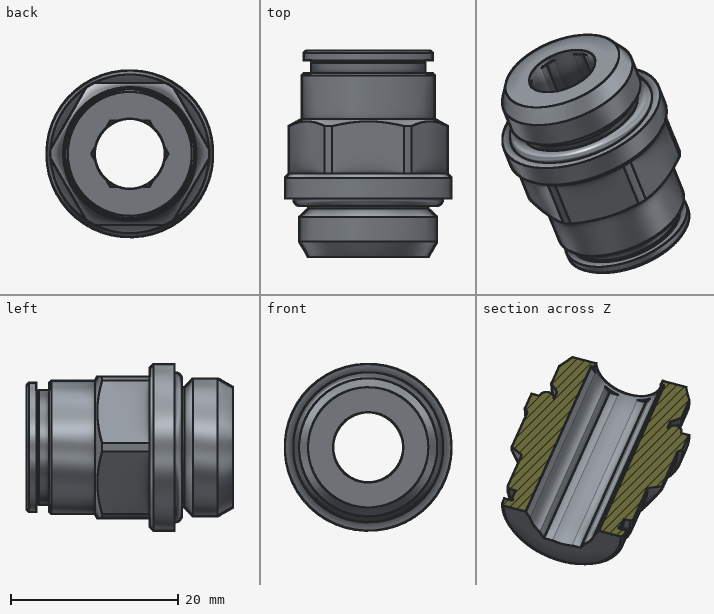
import cadquery as cq
import math

total_length = 24.75

thread_radius = 8.27
thread_tip_radius = 7.2
thread_lead_length = 1.85
thread_end = 4.8
neck_radius = 7.2
neck_start = 5.82

flange_radius = 10.0
flange_start = 7.0
flange_end = 10.0
flange_chamfer = 0.5
ring_outer_radius = 9.0

hex_across_flats = 17.0
hex_corner_radius = 9.53
hex_corner_end = 15.7
hex_end = 16.55

body_radius = 8.0
body_end = 22.04
body_chamfer = 0.3
stem_radius = 6.88
stem_end = 23.27
groove_radius = 6.69
groove_bottom = 23.42
groove_mouth_radius = 6.83
collar_radius = 7.75
collar_start = 23.57
collar_chamfer = 0.32

bore_radius = 4.18
key_across_flats = 8.0
key_start = 0.67


def revolve_about_y(outline):
    """Turn a closed outline of (radius, Y) points into a solid."""
    return outline.close().revolve(360, (0, 0, 0), (0, 1, 0))


def turned(points):
    return revolve_about_y(cq.Workplane("XY").polyline(points))


def hex_bar(across_flats, start, end):
    """Hexagonal bar along Y with corners on the X axis and flats facing Z."""
    corner_diameter = across_flats / math.cos(math.pi / 6)
    return (
        cq.Workplane("XZ", origin=(0, start, 0))
        .polygon(6, corner_diameter)
        .extrude(start - end)
    )


def threaded_end_and_flange():
    return turned([
        (0, 0),
        (thread_tip_radius, 0),
        (thread_radius, thread_lead_length),
        (thread_radius, thread_end),
        (neck_radius, neck_start),
        (neck_radius, flange_start),
        (flange_radius, flange_start),
        (flange_radius, flange_end - flange_chamfer),
        (flange_radius - flange_chamfer, flange_end),
        (0, flange_end),
    ])


def sealing_ring():
    """Round ring on the neck, half sunk into the flange face."""
    section_radius = (ring_outer_radius - neck_radius) / 2
    section_center = (neck_radius + ring_outer_radius) / 2
    outline = (
        cq.Workplane("XY")
        .moveTo(neck_radius, flange_start)
        .threePointArc(
            (section_center, flange_start - section_radius),
            (ring_outer_radius, flange_start),
        )
        .lineTo(ring_outer_radius, flange_start + section_radius)
        .lineTo(neck_radius, flange_start + section_radius)
    )
    return revolve_about_y(outline)


def wrench_hexagon():
    """Hexagon with rounded corners and a conical chamfer towards the body."""
    envelope = turned([
        (0, flange_end),
        (hex_corner_radius, flange_end),
        (hex_corner_radius, hex_corner_end),
        (body_radius, hex_end),
        (0, hex_end),
    ])
    return hex_bar(hex_across_flats, flange_end, hex_end).intersect(envelope)


def body_and_collar():
    """Body, stem and collar, with a V-groove between stem and collar."""
    return turned([
        (0, hex_end),
        (body_radius, hex_end),
        (body_radius, body_end - body_chamfer),
        (body_radius - body_chamfer, body_end),
        (stem_radius, body_end),
        (stem_radius, stem_end),
        (groove_radius, groove_bottom),
        (groove_mouth_radius, collar_start),
        (collar_radius, collar_start),
        (collar_radius, total_length - collar_chamfer),
        (collar_radius - collar_chamfer, total_length),
        (0, total_length),
    ])


def bore():
    """Round through bore, with the key hexagon cutting grooves in its wall."""
    round_bore = cq.Workplane("XZ").circle(bore_radius).extrude(-total_length)
    return round_bore.union(hex_bar(key_across_flats, key_start, total_length))


result = (
    threaded_end_and_flange()
    .union(sealing_ring())
    .union(wrench_hexagon())
    .union(body_and_collar())
    .cut(bore())
)